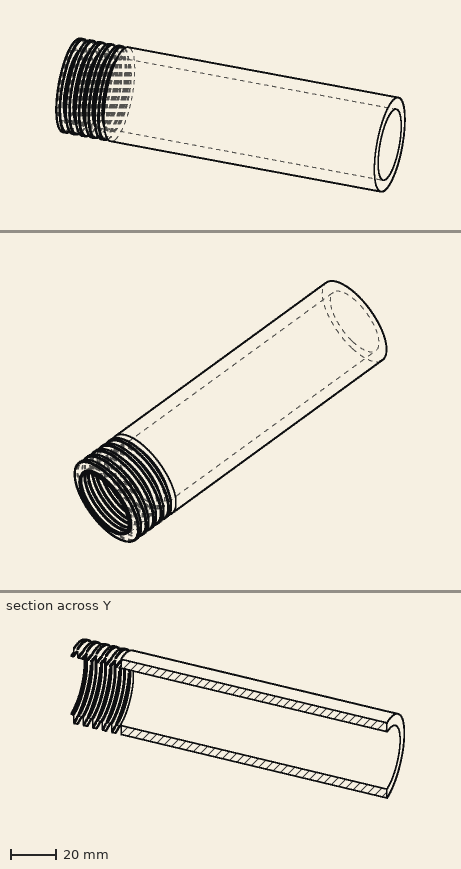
import cadquery as cq

length = 150.0
outer_diameter = 42.5
bore_diameter = 32.0
root_outer_diameter = 32.8

pitch = 4.5
corrugation_count = 5
crest_half_width = 1.0
root_half_width = 1.2
flank_thickness = 0.3
bend_bevel = 0.38
foot_bevel = 0.38

outer_radius = outer_diameter / 2
bore_radius = bore_diameter / 2
root_outer_radius = root_outer_diameter / 2
wall = root_outer_radius - bore_radius
crest_inner_radius = outer_radius - wall
crest_bevel_radius = outer_radius - bend_bevel
foot_bevel_radius = root_outer_radius + foot_bevel
bore_bevel_radius = bore_radius + bend_bevel


def revolve_about_x(points):
    return cq.Workplane("XY").polyline(points).close().revolve(360, (0, 0, 0), (1, 0, 0))


def crest_center(index):
    return (index + 0.5) * pitch


def outer_body():
    """Filled body whose surface is the outside of the corrugations and tube."""
    points = [(0, 0), (0, root_outer_radius)]
    for index in range(corrugation_count):
        center = crest_center(index)
        points += [
            (center - root_half_width - foot_bevel, root_outer_radius),
            (center - root_half_width, foot_bevel_radius),
            (center - crest_half_width, crest_bevel_radius),
            (center - crest_half_width + bend_bevel, outer_radius),
            (center + crest_half_width - bend_bevel, outer_radius),
            (center + crest_half_width, crest_bevel_radius),
            (center + root_half_width, foot_bevel_radius),
            (center + root_half_width + foot_bevel, root_outer_radius),
        ]
    tube_center = crest_center(corrugation_count)
    points += [
        (tube_center - root_half_width - foot_bevel, root_outer_radius),
        (tube_center - root_half_width, foot_bevel_radius),
        (tube_center - crest_half_width, crest_bevel_radius),
        (tube_center - crest_half_width, outer_radius),
        (length, outer_radius),
        (length, 0),
    ]
    return revolve_about_x(points)


def inner_cavity():
    """Through bore with a groove inside each crest."""
    groove_tip_half_width = crest_half_width - flank_thickness
    groove_mouth_half_width = root_half_width - flank_thickness
    points = [(0, 0), (0, bore_radius)]
    for index in range(corrugation_count):
        center = crest_center(index)
        points += [
            (center - groove_mouth_half_width - bend_bevel, bore_radius),
            (center - groove_mouth_half_width, bore_bevel_radius),
            (center - groove_tip_half_width, crest_inner_radius),
            (center + groove_tip_half_width, crest_inner_radius),
            (center + groove_mouth_half_width, bore_bevel_radius),
            (center + groove_mouth_half_width + bend_bevel, bore_radius),
        ]
    points += [(length, bore_radius), (length, 0)]
    return revolve_about_x(points)


result = outer_body().cut(inner_cavity())